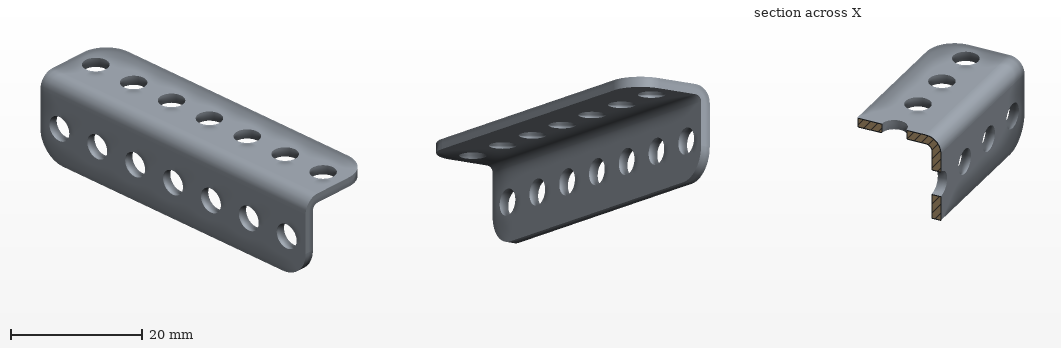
import cadquery as cq

length = 56.0
flange_width = 14.3
thickness = 1.6
inner_bend_radius = 1.0
outer_bend_radius = inner_bend_radius + thickness
corner_radius = 4.8

hole_diameter = 4.2
hole_count = 7
hole_pitch = 8.0
hole_from_bend_face = 8.0

hole_row = [((i - (hole_count - 1) / 2) * hole_pitch, 0) for i in range(hole_count)]


def make_flange():
    """Horizontal flange below Z = 0, with its free corners rounded and its holes cut."""
    plate = cq.Workplane("XY").box(length, flange_width, thickness, centered=(True, False, False))
    plate = plate.translate((0, 0, -thickness))
    plate = plate.edges("|Z and >Y").fillet(corner_radius)
    holes = (
        cq.Workplane("XY", origin=(0, hole_from_bend_face, -thickness))
        .pushPoints(hole_row)
        .circle(hole_diameter / 2)
        .extrude(thickness)
    )
    return plate.cut(holes)


def round_bend(angle):
    """Round the inner and outer edges of the bend concentrically."""
    inner_edge = cq.selectors.NearestToPointSelector((0, thickness, -thickness))
    outer_edge = cq.selectors.NearestToPointSelector((0, 0, 0))
    angle = angle.edges(inner_edge).fillet(inner_bend_radius)
    return angle.edges(outer_edge).fillet(outer_bend_radius)


top_flange = make_flange()

bend_bisector_normal = cq.Vector(0, 1, 1)
front_flange = top_flange.mirror(bend_bisector_normal)

result = round_bend(top_flange.union(front_flange))